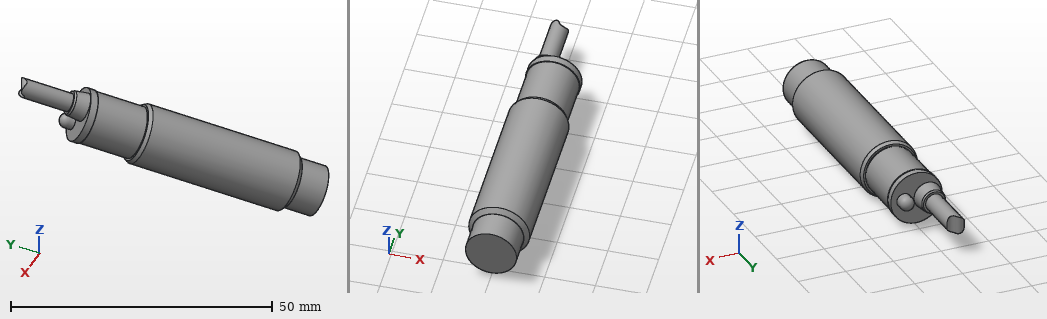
import cadquery as cq


core_diameter = 10.1
sleeve_front = 5.7
sleeve_rear = 38.8

sleeve_diameter = 12.0
front_rim_diameter = 10.2
front_chamfer = (sleeve_diameter - front_rim_diameter) / 2
rear_rim_diameter = 11.25
rear_chamfer_length = 0.8

barrel_diameter = 10.5
flange_diameter = 10.8
flange_front = 49.4
flange_rear = 50.9

cable_x = -2.3
cable_diameter = 3.7
cable_end = 64.6
cable_wave_height = 0.65
boot_base_diameter = 5.7
boot_shoulder_diameter = 5.0
boot_tip_diameter = 4.6
boot_shoulder = 53.7
boot_tip = 54.1

lamp_x = 2.65
lamp_diameter = 3.0
lamp_dome_start = 52.15


def rod(diameter, start, end, x=0):
    """Solid cylinder along Y between two stations."""
    return (
        cq.Workplane("XZ", origin=(x, start, 0))
        .circle(diameter / 2)
        .extrude(start - end)
    )


def cone(start_diameter, end_diameter, start, end, x=0):
    """Truncated cone along Y between two stations."""
    direction = cq.Vector(0, 1, 0)
    solid = cq.Solid.makeCone(
        start_diameter / 2, end_diameter / 2, end - start, cq.Vector(x, start, 0), direction
    )
    return cq.Workplane(obj=solid)


def make_sleeve():
    """Tube with a chamfer at each end, bored to fit the core."""
    front_edge = sleeve_front + front_chamfer
    rear_edge = sleeve_rear - rear_chamfer_length
    body = rod(sleeve_diameter, front_edge, rear_edge)
    body = body.union(cone(front_rim_diameter, sleeve_diameter, sleeve_front, front_edge))
    body = body.union(cone(sleeve_diameter, rear_rim_diameter, rear_edge, sleeve_rear))
    return body.cut(rod(core_diameter, sleeve_front, sleeve_rear))


def make_core():
    """Plain core that fills the sleeve and projects as the sensing nose."""
    return rod(core_diameter, 0, sleeve_rear)


def make_cable():
    """Round cable whose cut end follows an S-shaped break curve."""
    radius = cable_diameter / 2
    wave_middle = cable_end - cable_wave_height
    profile = (
        cq.Workplane("XY", origin=(cable_x, 0, 0))
        .moveTo(-radius, flange_rear)
        .lineTo(-radius, wave_middle)
        .threePointArc((-radius / 2, cable_end), (0, wave_middle))
        .threePointArc((radius / 2, wave_middle - cable_wave_height), (radius, wave_middle))
        .lineTo(radius, flange_rear)
        .close()
        .extrude(radius, both=True)
    )
    return rod(cable_diameter, flange_rear, cable_end, cable_x).intersect(profile)


def make_boot():
    """Tapered strain relief with a bevelled tip."""
    taper = cone(boot_base_diameter, boot_shoulder_diameter, flange_rear, boot_shoulder, cable_x)
    tip = cone(boot_shoulder_diameter, boot_tip_diameter, boot_shoulder, boot_tip, cable_x)
    return taper.union(tip)


def make_lamp():
    """Short post with a hemispherical dome."""
    post = rod(lamp_diameter, flange_rear, lamp_dome_start, lamp_x)
    dome = cq.Workplane("XY", origin=(lamp_x, lamp_dome_start, 0)).sphere(lamp_diameter / 2)
    return post.union(dome)


def make_end_cap():
    """Barrel and flange carrying the strain relief, cable and lamp."""
    cap = rod(barrel_diameter, sleeve_rear, flange_front)
    cap = cap.union(rod(flange_diameter, flange_front, flange_rear))
    return cap.union(make_boot()).union(make_cable()).union(make_lamp())


sleeve = make_sleeve()
core = make_core()
end_cap = make_end_cap()

result = cq.Compound.makeCompound([sleeve.val(), core.val(), end_cap.val()])